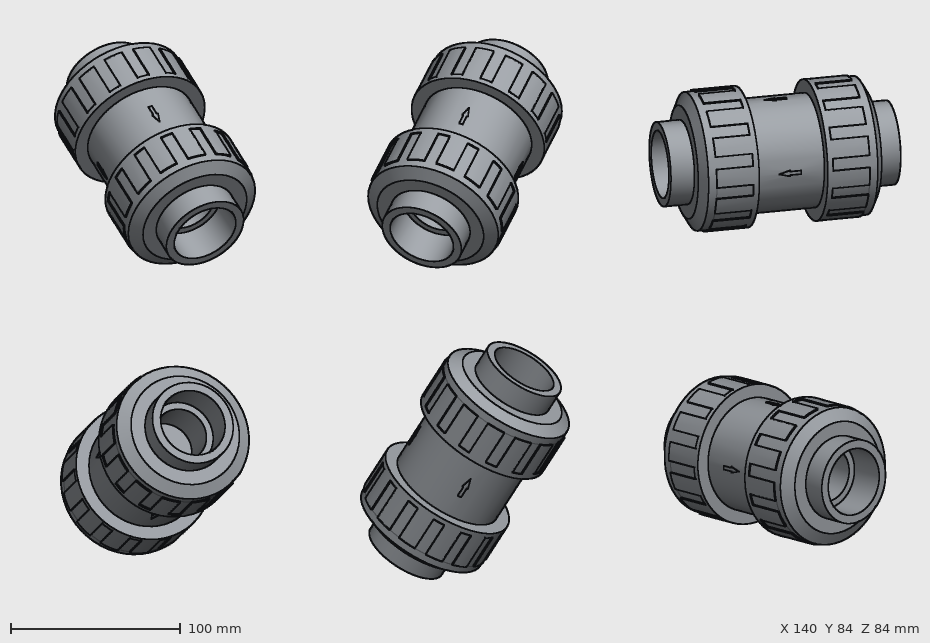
import cadquery as cq
import math

overall_length = 140.0
pipe_radius = 25.0
body_radius = 34.0

nut_radius = 42.0
collar_radius = 41.2
nut_length = 35.0
nut_chamfer_length = 4.3
nut_chamfer_slope = 60.0
grip_start = 9.2
grip_end = 31.6
left_nut_start = 14.0
right_nut_end = 125.7

socket_radius = 20.0
socket_depth = 22.0
port_radius = 15.8
port_depth = left_nut_start + nut_length

pad_count = 14
pad_angle = 15.6
pad_pitch = 360.0 / pad_count
pad_phase = pad_pitch / 5
recess_overcut = 1.4

arrow_count = 4
arrow_height = 0.3
arrow_length = 13.5
arrow_head_length = 6.7
arrow_shaft_width = 2.2
arrow_head_width = 3.8
arrow_embed = 1.4

mid_nuts_x = (left_nut_start + right_nut_end) / 2


def cylinder(x_start, x_end, radius):
    return cq.Workplane("YZ", origin=(x_start, 0, 0)).circle(radius).extrude(x_end - x_start)


def make_nut():
    """Nut along +X from its chamfered end at x = 0."""
    chamfer_rise = nut_chamfer_length * math.tan(math.radians(nut_chamfer_slope))
    nut = (
        cq.Workplane("XY")
        .moveTo(0, 0)
        .lineTo(0, collar_radius - chamfer_rise)
        .lineTo(nut_chamfer_length, collar_radius)
        .lineTo(grip_start, collar_radius)
        .lineTo(grip_start, nut_radius)
        .lineTo(nut_length, nut_radius)
        .lineTo(nut_length, 0)
        .close()
        .revolve(360, (0, 0, 0), (1, 0, 0))
    )
    recess = (
        cq.Workplane("XY")
        .moveTo(grip_start, collar_radius)
        .lineTo(grip_end, collar_radius)
        .lineTo(grip_end, nut_radius + recess_overcut)
        .lineTo(grip_start, nut_radius + recess_overcut)
        .close()
        .revolve(pad_pitch - pad_angle, (0, 0, 0), (1, 0, 0))
        .rotate((0, 0, 0), (1, 0, 0), pad_angle / 2 - pad_phase)
    )
    for index in range(pad_count):
        nut = nut.cut(recess.rotate((0, 0, 0), (1, 0, 0), index * pad_pitch))
    return nut


def make_arrow():
    """Arrow on the +Z side, its face curved concentrically with the body."""
    tail = mid_nuts_x - arrow_length / 2
    tip = tail + arrow_length
    neck = tip - arrow_head_length
    prism = (
        cq.Workplane("XY", origin=(0, 0, body_radius - arrow_embed))
        .moveTo(tail, -arrow_shaft_width / 2)
        .lineTo(neck, -arrow_shaft_width / 2)
        .lineTo(neck, -arrow_head_width / 2)
        .lineTo(tip, 0)
        .lineTo(neck, arrow_head_width / 2)
        .lineTo(neck, arrow_shaft_width / 2)
        .lineTo(tail, arrow_shaft_width / 2)
        .close()
        .extrude(2 * arrow_embed)
    )
    return prism.intersect(cylinder(tail, tip, body_radius + arrow_height))


valve = cylinder(0, overall_length, pipe_radius)
valve = valve.union(cylinder(left_nut_start + nut_length, right_nut_end - nut_length, body_radius))

nut = make_nut()
valve = valve.union(nut.translate((left_nut_start, 0, 0)))
valve = valve.union(nut.rotate((0, 0, 0), (0, 0, 1), 180).translate((right_nut_end, 0, 0)))

arrow = make_arrow()
for index in range(arrow_count):
    valve = valve.union(arrow.rotate((0, 0, 0), (1, 0, 0), index * 360 / arrow_count))

for radius, depth in ((socket_radius, socket_depth), (port_radius, port_depth)):
    valve = valve.cut(cylinder(0, depth, radius))
    valve = valve.cut(cylinder(overall_length - depth, overall_length, radius))

result = valve